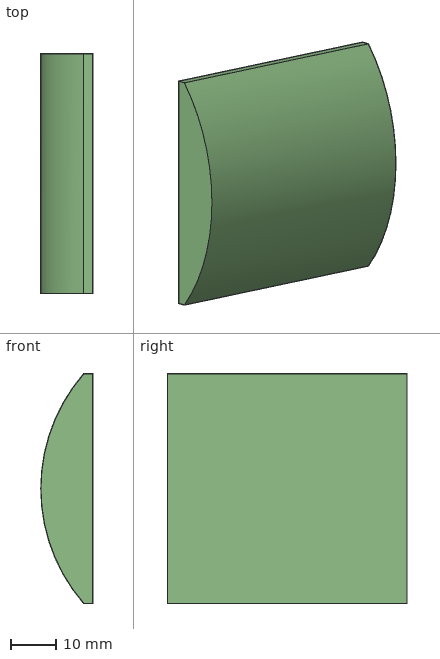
import cadquery as cq

length = 53.0
height = 50.8
thickness = 11.5
edge_width = 2.0

half_height = height / 2
back_x = thickness / 2
crown_x = -thickness / 2
arc_end_x = back_x - edge_width

result = (
    cq.Workplane("XZ")
    .moveTo(back_x, -half_height)
    .lineTo(back_x, half_height)
    .lineTo(arc_end_x, half_height)
    .threePointArc((crown_x, 0), (arc_end_x, -half_height))
    .close()
    .extrude(length / 2, both=True)
)